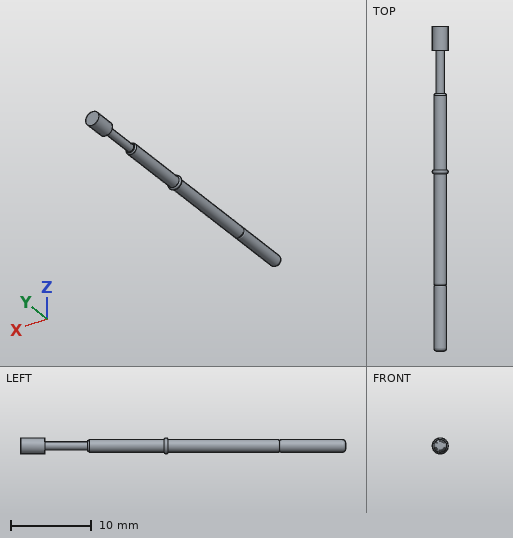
import cadquery as cq
import math

TOTAL_LENGTH = 40.3

HEAD_RADIUS = 1.0
HEAD_LENGTH = 3.0

PLUNGER_RADIUS = 0.53

BARREL_RADIUS = 0.8
BARREL_LENGTH = 32.0
MOUTH_RADIUS = 0.65
MOUTH_LENGTH = 0.25
TAIL_FILLET = 0.42

COLLAR_RADIUS = 1.0
COLLAR_WIDTH = 0.5
COLLAR_FROM_TAIL = 22.27

GROOVE_LIP_RADIUS = 0.22
GROOVE_FROM_TAIL = 8.2

TAIL_Y = -TOTAL_LENGTH / 2
TIP_Y = TOTAL_LENGTH / 2
MOUTH_Y = TAIL_Y + BARREL_LENGTH
COLLAR_Y = TAIL_Y + COLLAR_FROM_TAIL
GROOVE_Y = TAIL_Y + GROOVE_FROM_TAIL


def revolve_about_y(profile):
    """Full revolution of a closed XY profile around the Y axis."""
    return profile.revolve(360, (0, 0, 0), (0, 1, 0))


def make_cylinder(radius, start_y, end_y):
    """Solid cylinder on the Y axis between two stations."""
    profile = (
        cq.Workplane("XY")
        .moveTo(0, start_y)
        .lineTo(radius, start_y)
        .lineTo(radius, end_y)
        .lineTo(0, end_y)
        .close()
    )
    return revolve_about_y(profile)


def make_barrel():
    """Tube body with a rounded tail and a tapered mouth."""
    shoulder_y = MOUTH_Y - MOUTH_LENGTH
    body = make_cylinder(BARREL_RADIUS, TAIL_Y, shoulder_y)
    body = body.faces("<Y").edges().fillet(TAIL_FILLET)
    mouth_profile = (
        cq.Workplane("XY")
        .moveTo(0, shoulder_y)
        .lineTo(BARREL_RADIUS, shoulder_y)
        .lineTo(MOUTH_RADIUS, MOUTH_Y)
        .lineTo(0, MOUTH_Y)
        .close()
    )
    return body.union(revolve_about_y(mouth_profile))


def make_collar():
    """Press ring with a fully rounded rim."""
    half_width = COLLAR_WIDTH / 2
    rim_start = COLLAR_RADIUS - half_width
    profile = (
        cq.Workplane("XY")
        .moveTo(0, COLLAR_Y - half_width)
        .lineTo(rim_start, COLLAR_Y - half_width)
        .threePointArc((COLLAR_RADIUS, COLLAR_Y), (rim_start, COLLAR_Y + half_width))
        .lineTo(0, COLLAR_Y + half_width)
        .close()
    )
    return revolve_about_y(profile)


def make_groove():
    """Ring-shaped cutter whose two convex lips meet at the groove bottom."""
    lip = GROOVE_LIP_RADIUS
    lip_center_x = BARREL_RADIUS - lip
    mid_offset = lip * math.sqrt(0.5)
    mid_x = lip_center_x + mid_offset
    lower_y = GROOVE_Y - lip
    upper_y = GROOVE_Y + lip
    profile = (
        cq.Workplane("XY")
        .moveTo(BARREL_RADIUS, lower_y)
        .threePointArc((mid_x, lower_y + mid_offset), (lip_center_x, GROOVE_Y))
        .threePointArc((mid_x, upper_y - mid_offset), (BARREL_RADIUS, upper_y))
        .close()
    )
    return revolve_about_y(profile)


plunger = make_cylinder(PLUNGER_RADIUS, MOUTH_Y, TIP_Y)
head = make_cylinder(HEAD_RADIUS, TIP_Y - HEAD_LENGTH, TIP_Y)

result = make_barrel().union(make_collar()).cut(make_groove()).union(plunger).union(head)